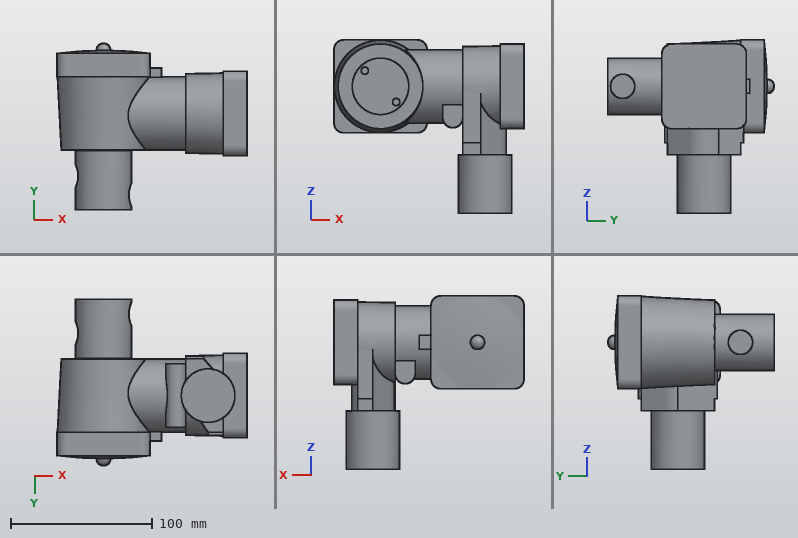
import cadquery as cq
import math


arm_radius = 26.0
arm_end_x = 58.2
barrel_front_y = -arm_radius
barrel_back_y = arm_radius
barrel_front_radius = 30.0
barrel_back_radius = 32.7
flange_size = 66.0
flange_thickness = 16.5
corner_radius = 7.0
flange_back_y = barrel_back_y + flange_thickness
dome_height = 2.2
dome_top_y = flange_back_y + dome_height

lug_radius = 7.0
lug_bottom_z = -29.4
lug_half_length = 22.4

block_end_x = 41.1
block_back_y = 32.3
block_height = 10.0

button_radius = 5.0
button_height = 5.0
button_rim_height = 0.9

shaft_radius = 20.0
shaft_length = 42.0
shaft_clearance = 0.25
shaft_back_y = barrel_front_y - shaft_clearance
shaft_front_y = shaft_back_y - shaft_length
cross_hole_radius = 8.6
cross_hole_depth = 10.0
left_hole_y = barrel_front_y - 18.3
right_hole_y = barrel_front_y - 31.7
pin_hole_radius = 2.6
pin_hole_depth = 4.0
pin_hole_offset = 11.1

collar_front_radius = 28.25
collar_back_radius = 28.7
collar_length = 26.6
collar_end_x = arm_end_x + collar_length
elbow_flange_size = 60.0
elbow_flange_thickness = 16.9
leg_axis_x = 74.1
leg_post_radius = 15.0
leg_bottom_z = -48.5
leg_half_width = 26.0
front_web_end_x = 71.0
strap_half_width = 28.0
strap_bottom_z = -40.0

foot_radius = 19.0
foot_length = 41.4


def box_between(x_range, y_range, z_range):
    """Box spanning the given (low, high) limits on each axis."""
    sizes = [high - low for low, high in (x_range, y_range, z_range)]
    corner = (x_range[0], y_range[0], z_range[0])
    return cq.Workplane("XY").box(*sizes, centered=False).translate(corner)


def cone_along_x(start_x, end_x, start_radius, end_radius):
    """Solid cone frustum around the X axis."""
    profile = [(start_x, 0), (end_x, 0), (end_x, end_radius), (start_x, start_radius)]
    return cq.Workplane("XY").polyline(profile).close().revolve(360, (0, 0, 0), (1, 0, 0))


def cylinder_along_y(radius, start_y, end_y, x=0.0, z=0.0):
    """Solid cylinder parallel to the Y axis."""
    axis = cq.Vector(0, 1, 0)
    return cq.Workplane(cq.Solid.makeCylinder(radius, end_y - start_y, cq.Vector(x, start_y, z), axis))


def make_housing():
    profile = (
        cq.Workplane("XY")
        .moveTo(0, barrel_front_y)
        .lineTo(barrel_front_radius, barrel_front_y)
        .lineTo(barrel_back_radius, barrel_back_y)
        .lineTo(0, barrel_back_y)
        .close()
    )
    barrel = profile.revolve(360, (0, 0, 0), (0, 1, 0))
    half = flange_size / 2
    flange = box_between((-half, half), (barrel_back_y, flange_back_y), (-half, half))
    flange = flange.edges("|Y").fillet(corner_radius)
    dome = make_cap(half, dome_height, flange_back_y)
    arm = cone_along_x(0, arm_end_x, arm_radius, arm_radius)
    return barrel.union(flange).union(dome).union(arm).union(make_lug()).union(make_block())


def make_cap(rim_radius, height, base_y):
    """Spherical cap around the Y axis, bulging toward +Y."""
    sphere_radius = (rim_radius**2 + height**2) / (2 * height)
    half_angle = math.asin(rim_radius / sphere_radius) / 2
    center_y = base_y + height - sphere_radius
    arc_middle = (sphere_radius * math.sin(half_angle), center_y + sphere_radius * math.cos(half_angle))
    profile = (
        cq.Workplane("XY")
        .moveTo(0, base_y)
        .lineTo(rim_radius, base_y)
        .threePointArc(arc_middle, (0, base_y + height))
        .close()
    )
    return profile.revolve(360, (0, 0, 0), (0, 1, 0))


def make_lug():
    center_x = arm_end_x - lug_radius
    center_z = lug_bottom_z + lug_radius
    y_range = (-lug_half_length, lug_half_length)
    tip = cylinder_along_y(lug_radius, *y_range, x=center_x, z=center_z)
    body = box_between((center_x - lug_radius, arm_end_x), y_range, (center_z, 0))
    return body.union(tip)


def make_block():
    return box_between((0, block_end_x), (0, block_back_y), (-block_height / 2, block_height / 2))


def make_button():
    rim_top_y = dome_top_y + button_rim_height
    rim = cylinder_along_y(button_radius, flange_back_y, rim_top_y)
    button = rim.union(make_cap(button_radius, button_height - button_rim_height, rim_top_y))
    return button.cut(make_cap(flange_size / 2, dome_height, flange_back_y))


def make_shaft():
    shaft = cylinder_along_y(shaft_radius, shaft_front_y, shaft_back_y)
    for side, hole_y in ((-1, left_hole_y), (1, right_hole_y)):
        start = cq.Vector(side * shaft_radius, hole_y, 0)
        inward = cq.Vector(-side, 0, 0)
        cross_hole = cq.Solid.makeCylinder(cross_hole_radius, cross_hole_depth, start, inward)
        shaft = shaft.cut(cq.Workplane(cross_hole))
    for side in (-1, 1):
        x = side * pin_hole_offset
        pin_hole = cylinder_along_y(pin_hole_radius, shaft_front_y, shaft_front_y + pin_hole_depth, x, -x)
        shaft = shaft.cut(pin_hole)
    return shaft


def tangent_point(x, y):
    """Point where the line from (x, y) touches the leg post, turning counterclockwise."""
    dx = x - leg_axis_x
    angle = math.atan2(y, dx) + math.acos(leg_post_radius / math.hypot(dx, y))
    return (leg_axis_x + leg_post_radius * math.cos(angle), leg_post_radius * math.sin(angle))


def make_leg():
    """Round post with one web toward -Y and one toward +Y, each closed by a face tangent to the post."""
    height = -leg_bottom_z
    base = cq.Workplane("XY").workplane(offset=leg_bottom_z)
    leg = base.center(leg_axis_x, 0).circle(leg_post_radius).extrude(height)
    front_web = [
        (leg_axis_x, 0),
        (arm_end_x, 0),
        (arm_end_x, -leg_half_width),
        (front_web_end_x, -leg_half_width),
        tangent_point(front_web_end_x, -leg_half_width),
    ]
    rear_web = [
        (leg_axis_x, 0),
        (collar_end_x, 0),
        (collar_end_x, leg_half_width),
        (leg_axis_x, leg_half_width),
        tangent_point(leg_axis_x, leg_half_width),
    ]
    for outline in (front_web, rear_web):
        leg = leg.union(base.polyline(outline).close().extrude(height))
    front_strap = box_between((arm_end_x, front_web_end_x), (-strap_half_width, 0), (strap_bottom_z, 0))
    rear_strap = box_between((leg_axis_x, collar_end_x), (0, strap_half_width), (strap_bottom_z, 0))
    return leg.union(front_strap).union(rear_strap)


def make_elbow():
    collar = cone_along_x(arm_end_x, collar_end_x, collar_front_radius, collar_back_radius)
    half = elbow_flange_size / 2
    flange_end_x = collar_end_x + elbow_flange_thickness
    flange = box_between((collar_end_x, flange_end_x), (-half, half), (-half, half))
    flange = flange.edges("|X").fillet(corner_radius)
    return collar.union(flange).union(make_leg())


def make_foot():
    top = cq.Workplane("XY").workplane(offset=leg_bottom_z).center(leg_axis_x, 0)
    return top.circle(foot_radius).extrude(-foot_length)


housing = make_housing()
button = make_button()
shaft = make_shaft()
elbow = make_elbow()
foot = make_foot()

result = cq.Compound.makeCompound([housing.val(), button.val(), shaft.val(), elbow.val(), foot.val()])